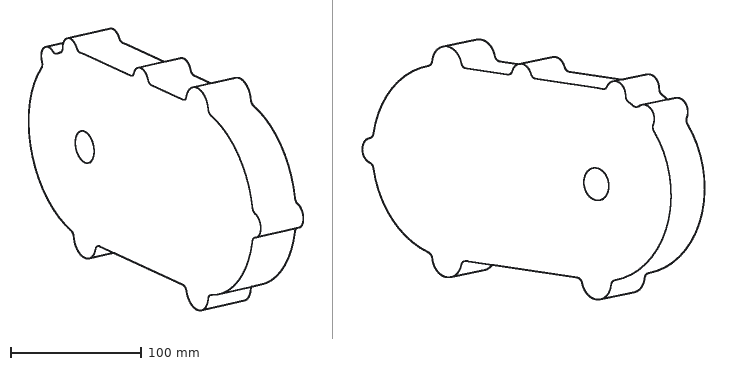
import cadquery as cq
import math

thickness = 40.0
end_radius = 75.0
center_spacing = 2 * end_radius
left_center_x = -center_spacing / 2
right_center_x = center_spacing / 2

large_lug_radius = 15.0
small_lug_radius = 10.0
first_corner_angle = 105
second_corner_angle = 130

lug_fillet = 5.0

bore_diameter = 25.0


def cylinder(x, z, radius):
    """Full-depth cylinder along Y at (x, z)."""
    return cq.Workplane("XZ").center(x, z).circle(radius).extrude(-thickness)


def left_rim_point(angle):
    """Point on the left end arc, at an angle in degrees from +X."""
    return (
        left_center_x + end_radius * math.cos(math.radians(angle)),
        end_radius * math.sin(math.radians(angle)),
    )


lugs = [
    (left_center_x, -end_radius, large_lug_radius),
    (right_center_x, -end_radius, large_lug_radius),
    (right_center_x, end_radius, large_lug_radius),
    (right_center_x + end_radius, 0, small_lug_radius),
    (0, end_radius, small_lug_radius),
    (*left_rim_point(first_corner_angle), small_lug_radius),
    (*left_rim_point(second_corner_angle), small_lug_radius),
]

overall_slot_length = center_spacing + 2 * end_radius
body = cq.Workplane("XZ").slot2D(overall_slot_length, 2 * end_radius).extrude(-thickness)


def is_lug_root(edge):
    """True for an edge along Y where a lug's cylinder crosses the body outline."""
    middle = edge.Center()
    tolerance = 0.03
    x_to_arc = max(abs(middle.x) - right_center_x, 0)
    on_body = abs(math.hypot(x_to_arc, middle.z) - end_radius) < tolerance
    on_lug = any(
        abs(math.hypot(middle.x - x, middle.z - z) - radius) < tolerance
        for x, z, radius in lugs
    )
    return on_body and on_lug


for lug in lugs:
    body = body.union(cylinder(*lug))
root_edges = [edge for edge in body.edges("|Y").vals() if is_lug_root(edge)]
body = body.newObject(root_edges).fillet(lug_fillet)

result = body.cut(cylinder(left_center_x, 0, bore_diameter / 2))